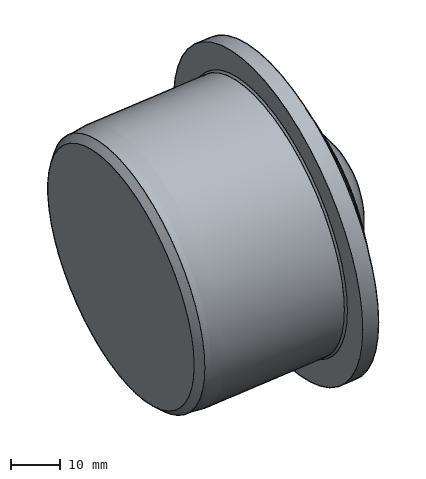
import cadquery as cq
import math


body_radius = 31.0
end_chamfer = 1.6
end_land_radius = 30.6
end_land_top = 3.0
taper_top = 6.0

flange_radius = 37.5
flange_bottom = 34.5
flange_thickness = 3.75
collar_size = 0.45

flange_cone_radius = 29.4
flange_cone_top = 41.6
cap_radius = 28.35
cap_edge_height = 0.5
cap_top_radius = 22.9
cap_top = 44.4

ball_radius = 22.5
ball_top = 53.4
ball_center = ball_top - ball_radius


def ball_radius_at(height):
    """Radius of the ball's circular section at a height along Y."""
    return math.sqrt(ball_radius**2 - (height - ball_center) ** 2)


dome_middle = (cap_top + ball_top) / 2

half_profile = (
    cq.Workplane("XY")
    .moveTo(0, 0)
    .lineTo(end_land_radius - end_chamfer, 0)
    .lineTo(end_land_radius, end_chamfer)
    .lineTo(end_land_radius, end_land_top)
    .lineTo(body_radius, taper_top)
    .lineTo(body_radius, flange_bottom - collar_size)
    .lineTo(body_radius + collar_size, flange_bottom)
    .lineTo(flange_radius, flange_bottom)
    .lineTo(flange_radius, flange_bottom + flange_thickness)
    .lineTo(flange_cone_radius, flange_cone_top)
    .lineTo(cap_radius, flange_cone_top)
    .lineTo(cap_radius, flange_cone_top + cap_edge_height)
    .lineTo(cap_top_radius, cap_top)
    .lineTo(ball_radius_at(cap_top), cap_top)
    .threePointArc((ball_radius_at(dome_middle), dome_middle), (0, ball_top))
    .close()
)

result = half_profile.revolve(360, (0, 0, 0), (0, 1, 0))